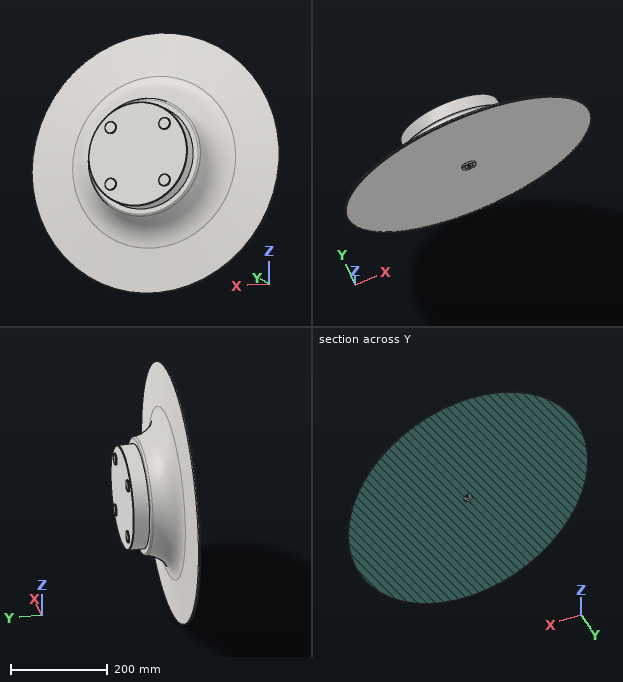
import cadquery as cq

rim_radius = 275.0
front_y = -56.5
boss_height = 4.0
plate_front_y = front_y + boss_height
plate_thickness = 2.0
plate_radius = 274.5

rim_thickness = 5.0
rim_back_y = plate_front_y + rim_thickness
cone_top_radius = 181.5
cone_top_y = -40.5
neck_radius = 125.0
neck_arc_end_y = 15.5
neck_edge_radius = 4.0
hub_radius = 110.0
hub_back_y = 54.0
hub_chamfer = 1.5

boss_radius = 15.5
boss_skin = 0.8
boss_hole_radius = 3.0
boss_bore_radius = 9.5

pad_radius = 12.5
pad_height = 3.0
pad_chamfer = 1.0
pad_offset = 60.0


def disc(radius, start_y, end_y):
    """Solid cylinder on the Y axis between two Y positions."""
    return cq.Workplane("XZ", origin=(0, start_y, 0)).circle(radius).extrude(start_y - end_y)


def make_housing():
    """Revolved housing with a seat for the front plate."""
    neck_back_y = neck_arc_end_y + neck_edge_radius
    profile = (
        cq.Workplane("XY")
        .moveTo(0, plate_front_y)
        .lineTo(rim_radius, plate_front_y)
        .lineTo(rim_radius, rim_back_y)
        .lineTo(cone_top_radius, cone_top_y)
        .tangentArcPoint((neck_radius, neck_arc_end_y), relative=False)
        .radiusArc((neck_radius - neck_edge_radius, neck_back_y), -neck_edge_radius)
        .lineTo(hub_radius, neck_back_y)
        .lineTo(hub_radius, hub_back_y - hub_chamfer)
        .lineTo(hub_radius - hub_chamfer, hub_back_y)
        .lineTo(0, hub_back_y)
        .close()
    )
    body = profile.revolve(360, (0, 0, 0), (0, 1, 0))
    seat = disc(plate_radius, plate_front_y, plate_front_y + plate_thickness)
    return body.cut(seat)


def make_front_plate():
    """Front plate with its central boss, pinhole and rear bore."""
    plate_back_y = plate_front_y + plate_thickness
    plate = disc(plate_radius, plate_front_y, plate_back_y)
    boss = disc(boss_radius, front_y, plate_front_y)
    pinhole = disc(boss_hole_radius, front_y, plate_back_y)
    bore = disc(boss_bore_radius, front_y + boss_skin, plate_back_y)
    return plate.union(boss).cut(pinhole).cut(bore)


def make_pad(x, z):
    """Round pad on the hub back, chamfered around its outer face."""
    pad = disc(pad_radius, hub_back_y, hub_back_y + pad_height)
    return pad.faces(">Y").chamfer(pad_chamfer).translate((x, 0, z))


housing = make_housing()
front_plate = make_front_plate()
pads = [
    make_pad(side_x * pad_offset, side_z * pad_offset)
    for side_x in (-1, 1)
    for side_z in (-1, 1)
]

result = cq.Compound.makeCompound([housing.val(), front_plate.val(), *[pad.val() for pad in pads]])